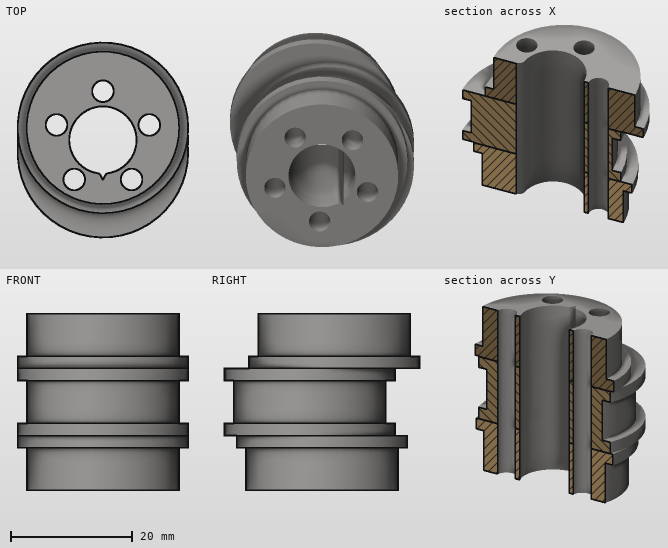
import cadquery as cq
import math

cam_diameter = 25.0
cam_width = 7.0
flange_diameter = 28.0
flange_thickness = 2.0
cam_offset = 2.0

bore_diameter = 11.0
bolt_hole_diameter = 3.5
bolt_circle_radius = 8.0
bolt_hole_count = 5
first_bolt_angle = 90.0

notch_tip_radius = 6.5
notch_half_angle = 28.0
notch_corner_radius = 0.6

middle_base = cam_width + flange_thickness
top_base = middle_base + cam_width + 2 * flange_thickness
total_height = top_base + flange_thickness + cam_width


def disc(diameter, centre_y, base, height):
    return cq.Workplane("XY", origin=(0, centre_y, base)).circle(diameter / 2).extrude(height)


def bore_cutter():
    """Full-height bore with the V notch, its mouth corners rounded."""
    bore = disc(bore_diameter, 0, 0, total_height)
    half_width_at_axis = notch_tip_radius * math.tan(math.radians(notch_half_angle))
    notch_outline = [
        (-half_width_at_axis, 0),
        (0, -notch_tip_radius),
        (half_width_at_axis, 0),
    ]
    notch = cq.Workplane("XY").polyline(notch_outline).close().extrude(total_height)

    mouth_zone = cq.selectors.BoxSelector(
        (-half_width_at_axis, -notch_tip_radius + notch_corner_radius, 0),
        (half_width_at_axis, 0, total_height),
    )
    return bore.union(notch).edges("|Z").edges(mouth_zone).fillet(notch_corner_radius)


def bolt_hole_cutter():
    return (
        cq.Workplane("XY")
        .polarArray(bolt_circle_radius, first_bolt_angle, 360, bolt_hole_count)
        .circle(bolt_hole_diameter / 2)
        .extrude(total_height)
    )


def eccentric(base, centre_y, flange_below, flange_above):
    """One cam starting at height base, with a flange on the chosen ends."""
    cam_base = base + (flange_thickness if flange_below else 0)
    body = disc(cam_diameter, centre_y, cam_base, cam_width)
    if flange_below:
        body = body.union(disc(flange_diameter, centre_y, base, flange_thickness))
    if flange_above:
        body = body.union(disc(flange_diameter, centre_y, cam_base + cam_width, flange_thickness))
    return body.cut(bore_cutter()).cut(bolt_hole_cutter())


bottom_eccentric = eccentric(0, 0, flange_below=False, flange_above=True)
middle_eccentric = eccentric(middle_base, -cam_offset, flange_below=True, flange_above=True)
top_eccentric = eccentric(top_base, cam_offset, flange_below=True, flange_above=False)

result = cq.Compound.makeCompound([
    bottom_eccentric.val(),
    middle_eccentric.val(),
    top_eccentric.val(),
])